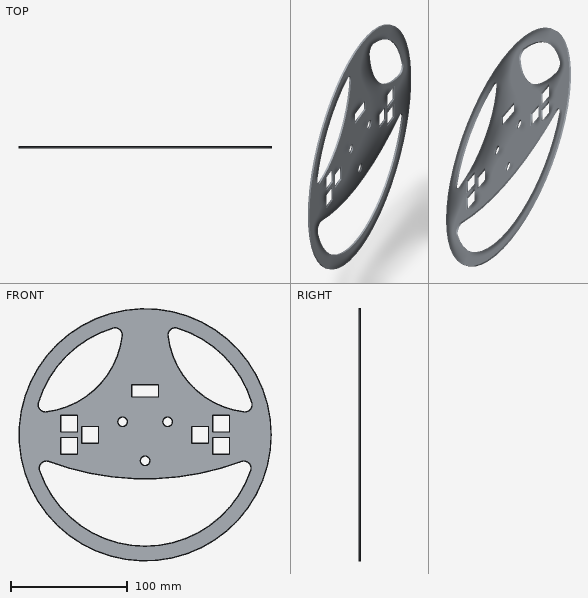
import cadquery as cq
import math

wheel_radius = 108.0
thickness = 1.6
rim_inner_radius = 95.2
corner_radius = 6.0

side_arc_offset = 93.3
side_arc_radius = 74.0
lower_arc_center_z = 198.0
lower_arc_radius = 235.8

bolt_circle_radius = 22.2
bolt_hole_diameter = 8.0
bolt_count = 3
first_bolt_angle = -90

button_size = 14.0
outer_button_x = 65.0
outer_button_z = 9.5
inner_button_x = 47.0
display_width = 22.7
display_height = 10.4
display_z = 37.5


def disc(radius, x=0.0, z=0.0):
    """Disc as thick as the plate, centred on Y = 0."""
    return cq.Workplane("XZ").center(x, z).circle(radius).extrude(thickness / 2, both=True)


def window(width, height, x, z):
    """Rectangular cutter through the plate."""
    return cq.Workplane("XY").box(width, thickness, height).translate((x, 0, z))


def opening(center_distance, arc_radius, middle_distance, direction):
    """Opening bounded by the rim and a hub arc, with rounded tips.

    It is drawn symmetric about +X, then turned to its direction in degrees.
    The hub arc's centre lies at center_distance along +X, and the arc
    crosses the X axis at middle_distance.
    """
    tip_x = (rim_inner_radius**2 - arc_radius**2 + center_distance**2) / (2 * center_distance)
    tip_z = math.sqrt(rim_inner_radius**2 - tip_x**2)
    return (
        cq.Workplane("XZ")
        .moveTo(tip_x, -tip_z)
        .threePointArc((rim_inner_radius, 0), (tip_x, tip_z))
        .threePointArc((middle_distance, 0), (tip_x, -tip_z))
        .close()
        .extrude(thickness / 2, both=True)
        .edges("|Y")
        .fillet(corner_radius)
        .rotate((0, 0, 0), (0, -1, 0), direction)
    )


result = disc(wheel_radius)

side_center_distance = math.hypot(side_arc_offset, side_arc_offset)
side_middle_distance = side_center_distance - side_arc_radius
for direction in (45, 135):
    result = result.cut(
        opening(side_center_distance, side_arc_radius, side_middle_distance, direction)
    )

lower_middle_distance = lower_arc_radius - lower_arc_center_z
result = result.cut(
    opening(-lower_arc_center_z, lower_arc_radius, lower_middle_distance, -90)
)

for index in range(bolt_count):
    angle = math.radians(first_bolt_angle + index * 360 / bolt_count)
    hole_x = bolt_circle_radius * math.cos(angle)
    hole_z = bolt_circle_radius * math.sin(angle)
    result = result.cut(disc(bolt_hole_diameter / 2, hole_x, hole_z))

for side in (-1, 1):
    result = result.cut(window(button_size, button_size, side * inner_button_x, 0))
    for z in (-outer_button_z, outer_button_z):
        result = result.cut(window(button_size, button_size, side * outer_button_x, z))

result = result.cut(window(display_width, display_height, 0, display_z))